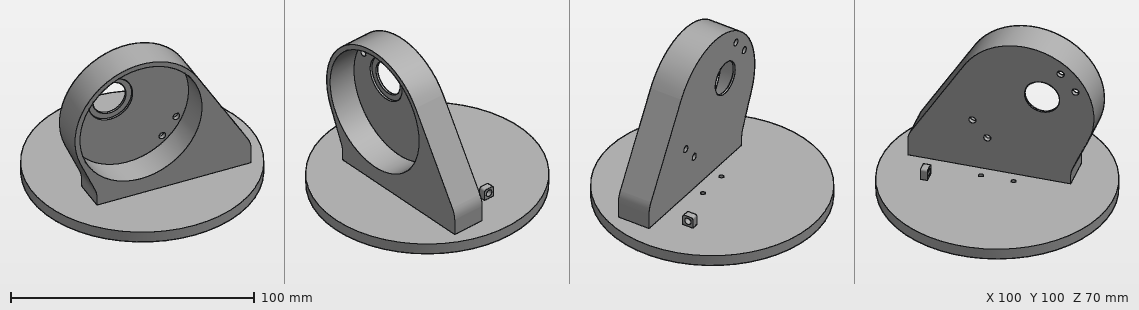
import cadquery as cq
import math

BASE_DIAMETER = 100.0
BASE_THICKNESS = 5.0
BASE_HOLE_DIAMETER = 2.0
BASE_HOLE_SPACING = 14.0

BRACKET_NEAR_X = 5.0
BRACKET_WIDTH = 15.0
BRACKET_BACK_Y = 40.0
BRACKET_FRONT_Y = -30.0
HEAD_RADIUS = 30.0
HEAD_Y = -10.0
HEAD_Z = 40.0
BACK_SLOPE_ANGLE = 31.0
FRONT_SLOPE_ANGLE = 23.8
SHOULDER_RADIUS = 10.0

POCKET_DIAMETER = 55.5
WEB_THICKNESS = 2.0
MOTOR_ANGLE = 140.6
SHAFT_HOLE_DIAMETER = 15.0
SHAFT_OFFSET = 9.9
SHAFT_LAND_THICKNESS = 1.0
SHAFT_RECESS_DIAMETER = 20.0
SCREW_HOLE_DIAMETER = 3.0
SCREW_SPACING_ALONG = 49.0
SCREW_SPACING_ACROSS = 10.0
SCREW_SIDE_SHIFT = -0.15

EYELET_SIZE = 5.0
EYELET_THICKNESS = 3.0
EYELET_X = -7.5
EYELET_Y = 28.5
EYELET_HOLE_DIAMETER = 3.0
EYELET_CORNER_RADIUS = 1.0


def make_base():
    base = cq.Workplane("XY").circle(BASE_DIAMETER / 2).extrude(BASE_THICKNESS)
    return (
        base.faces(">Z").workplane()
        .rarray(1, BASE_HOLE_SPACING, 1, 2)
        .hole(BASE_HOLE_DIAMETER)
    )


def flank_points(side, foot_y, slope_angle):
    """Return the tangent point on the head and the corner above the foot.

    side is +1 for the +Y flank and -1 for the -Y flank. Both flanks lean toward +Y
    at the bottom, so the +Y one leaves the head above its centre, the other below it.
    """
    angle = math.radians(slope_angle)
    tangent_y = HEAD_Y + side * HEAD_RADIUS * math.cos(angle)
    tangent_z = HEAD_Z + side * HEAD_RADIUS * math.sin(angle)
    corner_z = tangent_z - (foot_y - tangent_y) / math.tan(angle)
    return (tangent_y, tangent_z), (foot_y, corner_z)


def make_bracket_body():
    back_tangent, back_corner = flank_points(1, BRACKET_BACK_Y, BACK_SLOPE_ANGLE)
    front_tangent, front_corner = flank_points(-1, BRACKET_FRONT_Y, FRONT_SLOPE_ANGLE)
    body = (
        cq.Workplane("YZ", origin=(BRACKET_NEAR_X, 0, 0))
        .moveTo(BRACKET_FRONT_Y, BASE_THICKNESS)
        .lineTo(BRACKET_BACK_Y, BASE_THICKNESS)
        .lineTo(*back_corner)
        .lineTo(*back_tangent)
        .threePointArc((HEAD_Y, HEAD_Z + HEAD_RADIUS), front_tangent)
        .lineTo(*front_corner)
        .close()
        .extrude(BRACKET_WIDTH)
    )
    middle_x = BRACKET_NEAR_X + BRACKET_WIDTH / 2
    for y, z in (back_corner, front_corner):
        bend = cq.selectors.NearestToPointSelector((middle_x, y, z))
        body = body.edges("|X").edges(bend).fillet(SHOULDER_RADIUS)
    return body


def make_motor_seat_cut():
    near_plane = cq.Workplane("YZ", origin=(BRACKET_NEAR_X, HEAD_Y, HEAD_Z))
    motor_plane = near_plane.transformed(rotate=(0, 0, MOTOR_ANGLE))
    pocket = (
        near_plane.workplane(offset=WEB_THICKNESS)
        .circle(POCKET_DIAMETER / 2)
        .extrude(BRACKET_WIDTH - WEB_THICKNESS)
    )
    shaft_hole = (
        motor_plane.workplane()
        .center(SHAFT_OFFSET, 0)
        .circle(SHAFT_HOLE_DIAMETER / 2)
        .extrude(BRACKET_WIDTH)
    )
    shaft_recess = (
        motor_plane.workplane(offset=SHAFT_LAND_THICKNESS)
        .center(SHAFT_OFFSET, 0)
        .circle(SHAFT_RECESS_DIAMETER / 2)
        .extrude(BRACKET_WIDTH - SHAFT_LAND_THICKNESS)
    )
    screw_holes = (
        motor_plane.workplane()
        .center(0, SCREW_SIDE_SHIFT)
        .rarray(SCREW_SPACING_ALONG, SCREW_SPACING_ACROSS, 2, 2)
        .circle(SCREW_HOLE_DIAMETER / 2)
        .extrude(BRACKET_WIDTH)
    )
    return pocket.union(shaft_hole).union(shaft_recess).union(screw_holes)


def make_eyelet():
    block = (
        cq.Workplane("XY", origin=(EYELET_X, EYELET_Y, BASE_THICKNESS))
        .box(EYELET_SIZE, EYELET_THICKNESS, EYELET_SIZE, centered=(True, True, False))
    )
    rounded = block.edges("|Y and >Z").fillet(EYELET_CORNER_RADIUS)
    hole = (
        cq.Workplane("XZ", origin=(EYELET_X, EYELET_Y, BASE_THICKNESS + EYELET_SIZE / 2))
        .circle(EYELET_HOLE_DIAMETER / 2)
        .extrude(EYELET_THICKNESS, both=True)
    )
    return rounded.cut(hole)


bracket = make_bracket_body().cut(make_motor_seat_cut())
result = make_base().union(bracket).union(make_eyelet())